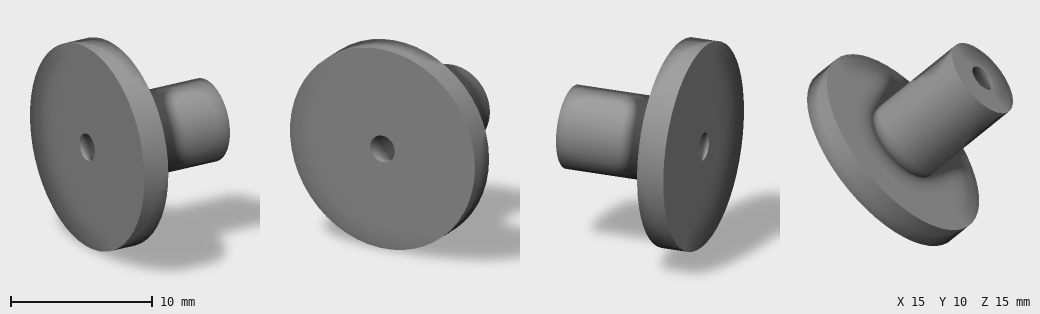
import cadquery as cq

flange_diameter = 15.0
flange_thickness = 2.0
boss_diameter = 6.0
overall_length = 10.0
bore_diameter = 2.0


def cylinder_along_y(diameter, length):
    """Cylinder on the Y axis, running from Y = 0 toward +Y."""
    return cq.Workplane("XZ").circle(diameter / 2).extrude(-length)


flange = cylinder_along_y(flange_diameter, flange_thickness)
boss = cylinder_along_y(boss_diameter, overall_length)
through_bore = cylinder_along_y(bore_diameter, overall_length)

result = flange.union(boss).cut(through_bore)